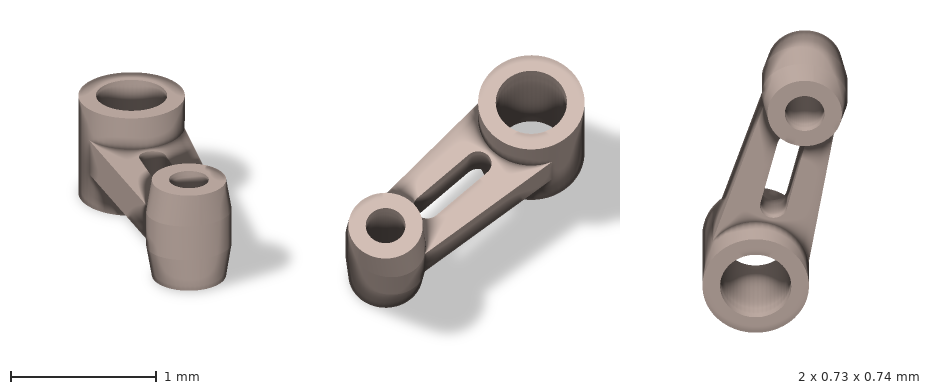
import cadquery as cq

length = 2.0
large_diameter = 0.73
large_bore = 0.488
large_height = 0.74
small_diameter = 0.51
small_bore = 0.272
small_top = 0.365
small_bottom = -0.355
small_waist_width = 0.592
small_x = length - large_diameter / 2 - small_diameter / 2

web_top = 0.135
web_bottom = -0.122
web_start_x = -0.07
web_end_x = small_x + 0.135
web_start_width = 0.712
web_end_width = 0.472

slot_length = 0.668
slot_width = 0.185
slot_x = 0.745


def cylinder(x, diameter, bottom, top):
    """Vertical cylinder centred at the given X."""
    base = cq.Workplane("XY", origin=(x, 0, bottom))
    return base.circle(diameter / 2).extrude(top - bottom)


def flared_end(web_face, outer_face):
    """Part of the small boss from its oval waist to its round outer face."""
    waist = cq.Workplane("XY", origin=(small_x, 0, web_face))
    waist = waist.ellipse(small_diameter / 2, small_waist_width / 2)
    return waist.workplane(offset=outer_face - web_face).circle(small_diameter / 2).loft()


def small_boss():
    """Round ends joined by a straight oval waist at web height."""
    waist = cq.Workplane("XY", origin=(small_x, 0, web_bottom))
    waist = waist.ellipse(small_diameter / 2, small_waist_width / 2).extrude(web_top - web_bottom)
    return waist.union(flared_end(web_top, small_top)).union(flared_end(web_bottom, small_bottom))


def slotted_web():
    """Tapered plate with a round-ended slot along its middle."""
    outline = [
        (web_start_x, -web_start_width / 2),
        (web_end_x, -web_end_width / 2),
        (web_end_x, web_end_width / 2),
        (web_start_x, web_start_width / 2),
    ]
    thickness = web_top - web_bottom
    base = cq.Workplane("XY", origin=(0, 0, web_bottom))
    plate = base.polyline(outline).close().extrude(thickness)
    slot = base.center(slot_x, 0).slot2D(slot_length, slot_width).extrude(thickness)
    return plate.cut(slot)


large_boss = cylinder(0, large_diameter, -large_height / 2, large_height / 2)
result = large_boss.union(slotted_web()).union(small_boss())

result = result.cut(cylinder(0, large_bore, -large_height / 2, large_height / 2))
result = result.cut(cylinder(small_x, small_bore, small_bottom, small_top))